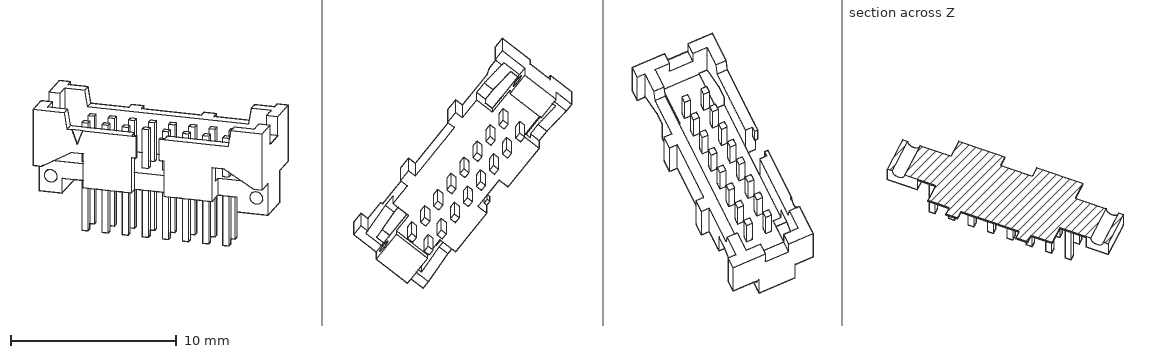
import cadquery as cq


rim_z = 4.69
wall_z = 3.65
floor_z = 1.09
leg_z = -0.95

half_length = 7.23
end_wall = 0.71
long_wall = 0.68
cavity_half_y = 1.72
outer_half_y = cavity_half_y + long_wall
cavity_half_x = half_length - end_wall
skirt_half_x = 4.07
floor_half_y = 1.2

tower_top_x = 5.25
tower_foot_x = 5.08

window_z = 2.19
window_top_x = 4.81
window_low_x = 6.7

left_leg_length = 1.45
right_leg_length = 1.97
hole_diameter = 0.8
hole_x = 6.49
hole_z = 0.09

rib_depth = 0.52
rib_width = 0.78
rib_x = 2.29

notch_half_y = 0.77
notch_z = 3.49
lip_depth = 0.03
lip_height = 0.01

key_half_x = 1.03
key_mouth_half_x = 0.72
key_lip_depth = 0.22
key_lip_z = 2.27

mark_half_width = 0.33
mark_height = 0.91
mark_depth = 0.07

pin_columns = 8
pin_rows = 2
pin_field_length = 8.89
pin_pitch = pin_field_length / (pin_columns - 1)
pin_width = 0.39
pin_top_z = 3.58
pin_bottom_z = -3.35
first_pin_x = -pin_field_length / 2


def block(x_span, y_span, z_span):
    """Box between the given lower and upper limits on each axis."""
    spans = (x_span, y_span, z_span)
    size = [high - low for low, high in spans]
    corner = cq.Vector(*[low for low, high in spans])
    return cq.Workplane(cq.Solid.makeBox(*size, corner))


def centred(half):
    return (-half, half)


def extrude_along_y(points, y_span):
    """Extrude an outline of (X, Z) points between two Y positions."""
    start, end = y_span
    plane = cq.Workplane("XZ", origin=(0, start, 0))
    return plane.polyline(points).close().extrude(start - end)


def long_wall_profile():
    """Side outline shared by both long walls: towers, windows and skirt."""
    right_half = [
        (skirt_half_x, 0),
        (skirt_half_x, window_z),
        (window_top_x, window_z),
        (window_low_x, floor_z),
        (half_length, floor_z),
        (half_length, rim_z),
        (tower_top_x, rim_z),
        (tower_foot_x, wall_z),
    ]
    left_half = [(-x, z) for x, z in reversed(right_half)]
    return right_half + left_half


def make_shell():
    """Two long walls joined by end walls, whose middle reaches the floor."""
    walls = extrude_along_y(long_wall_profile(), centred(outer_half_y))
    end_walls = block(centred(half_length), centred(floor_half_y), (floor_z, rim_z))
    cavity = block(centred(cavity_half_x), centred(cavity_half_y), (0, rim_z))
    return walls.union(end_walls).cut(cavity)


def make_base():
    """Floor with a wide middle and narrow ends, plus the end legs with their holes."""
    base = block(centred(skirt_half_x), centred(cavity_half_y), (0, floor_z))
    base = base.union(block(centred(half_length), centred(floor_half_y), (0, floor_z)))
    leg_spans = [
        (-half_length, -half_length + left_leg_length),
        (half_length - right_leg_length, half_length),
    ]
    for leg_span in leg_spans:
        base = base.union(block(leg_span, centred(floor_half_y), (leg_z, floor_z)))
    holes = (
        cq.Workplane("XZ")
        .pushPoints([(-hole_x, hole_z), (hole_x, hole_z)])
        .circle(hole_diameter / 2)
        .extrude(floor_half_y, both=True)
    )
    return base.cut(holes)


def make_ribs():
    """End flanges and two middle ribs on the back face."""
    y_span = (outer_half_y, outer_half_y + rib_depth)
    right_flange = block((cavity_half_x, half_length), y_span, (floor_z, rim_z))
    ribs = right_flange.union(right_flange.mirror("YZ"))
    for x in (-rib_x, rib_x):
        ribs = ribs.union(block((x - rib_width / 2, x + rib_width / 2), y_span, (0, wall_z)))
    return ribs


def make_keyway():
    """Cut through the front wall, narrower at the upper outer face."""
    lip_outer_y = -outer_half_y
    lip_inner_y = lip_outer_y + key_lip_depth
    inner = block(centred(key_half_x), (lip_inner_y, -cavity_half_y), (0, wall_z))
    lower = block(centred(key_half_x), (lip_outer_y, lip_inner_y), (0, key_lip_z))
    mouth = block(centred(key_mouth_half_x), (lip_outer_y, lip_inner_y), (0, wall_z))
    return inner.union(lower).union(mouth)


def make_mark():
    """Shallow triangle above the first pin, pointing down."""
    points = [
        (first_pin_x - mark_half_width, wall_z),
        (first_pin_x + mark_half_width, wall_z),
        (first_pin_x, wall_z - mark_height),
    ]
    return extrude_along_y(points, (-outer_half_y, -outer_half_y + mark_depth))


def make_pins():
    pins = cq.Workplane("XY", origin=(0, 0, pin_bottom_z))
    pins = pins.rarray(pin_pitch, pin_pitch, pin_columns, pin_rows)
    return pins.rect(pin_width, pin_width).extrude(pin_top_z - pin_bottom_z)


end_notches = block(centred(half_length), centred(notch_half_y), (notch_z, rim_z))
sill_lip = block(
    (cavity_half_x, half_length + lip_depth),
    centred(notch_half_y),
    (notch_z - lip_height, notch_z),
)

housing = make_shell().union(make_base()).union(make_ribs())
housing = housing.cut(end_notches).cut(make_keyway()).cut(make_mark()).union(sill_lip)
result = housing.union(make_pins())